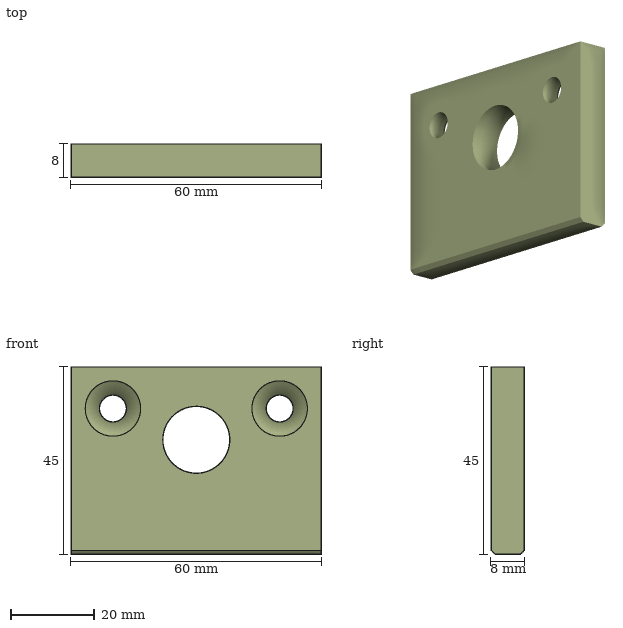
import cadquery as cq

plate_width = 60.0
plate_thickness = 8.0
plate_height = 45.0
bottom_chamfer = 1.0

bore_diameter = 16.0
bore_below_top = 17.5

screw_hole_diameter = 6.4
countersink_diameter = 13.3
countersink_angle = 90.0
screw_inset_from_side = 10.0
screw_below_top = 10.0


def make_plate():
    """Upright plate centred on the origin, both long bottom edges chamfered."""
    plate = cq.Workplane("XY").box(plate_width, plate_thickness, plate_height)
    return plate.faces("<Z").edges("|X").chamfer(bottom_chamfer)


def front_face(body):
    """Workplane on the -Y face at plate centre, with local x along X and local y along Z."""
    return body.faces("<Y").workplane(origin=(0, 0, 0))


def cut_bore(body):
    """Through bore on the plate's vertical centreline."""
    bore_z = plate_height / 2 - bore_below_top
    return front_face(body).center(0, bore_z).hole(bore_diameter)


def cut_screw_holes(body):
    """Mirrored pair of through holes, countersunk from the front."""
    screw_x = plate_width / 2 - screw_inset_from_side
    screw_z = plate_height / 2 - screw_below_top
    centres = [(side * screw_x, screw_z) for side in (-1, 1)]
    return front_face(body).pushPoints(centres).cskHole(
        screw_hole_diameter, countersink_diameter, countersink_angle
    )


result = cut_screw_holes(cut_bore(make_plate()))